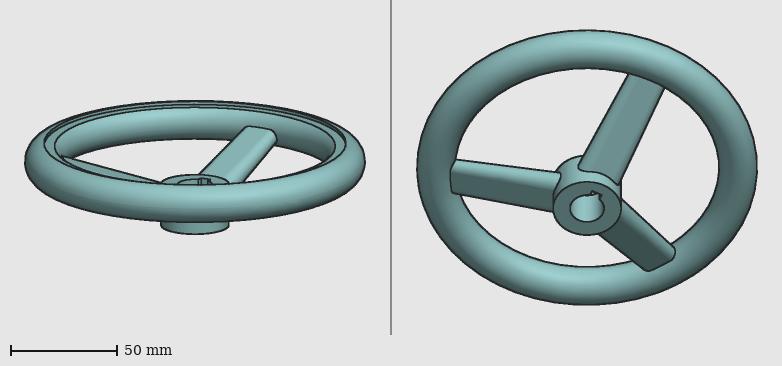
import cadquery as cq
import math

rim_outer_radius = 80.0
rim_section_radius = 9.0
rim_center_radius = rim_outer_radius - rim_section_radius
rim_step_depth = 1.5

hub_radius = 16.0
hub_height = 20.0
bore_radius = 8.0

keyway_width = 5.0
keyway_reach = 10.3

overall_height = 40.0
rim_center_height = overall_height - rim_section_radius

spoke_count = 3
spoke_flat_width = 11.0
spoke_start_height = 8.5
spoke_start_radius = 5.7
spoke_end_radius = 3.5
first_spoke_angle = 90.0


def rim_section_point(angle):
    """Point (radius, height) on the rim's section circle, angle in degrees from outward."""
    radius = rim_center_radius + rim_section_radius * math.cos(math.radians(angle))
    height = rim_center_height + rim_section_radius * math.sin(math.radians(angle))
    return radius, height


def make_rim():
    """Round section, stepped at its upper inner side, revolved about the hub axis."""
    step_floor = rim_section_radius - rim_step_depth
    crown_angle = 90.0
    outward_angle = 0.0
    step_edge_angle = -180.0 - math.degrees(math.asin(step_floor / rim_section_radius))
    upper_middle_angle = (crown_angle + outward_angle) / 2
    lower_middle_angle = (outward_angle + step_edge_angle) / 2

    crown = rim_section_point(crown_angle)
    outermost = rim_section_point(outward_angle)
    step_edge = rim_section_point(step_edge_angle)
    return (
        cq.Workplane("XZ")
        .moveTo(*crown)
        .threePointArc(rim_section_point(upper_middle_angle), outermost)
        .threePointArc(rim_section_point(lower_middle_angle), step_edge)
        .lineTo(rim_center_radius, rim_center_height + step_floor)
        .close()
        .revolve(360, (0, 0, 0), (0, 1, 0))
    )


def make_hub():
    """Plain cylinder, bored later once the spokes are joined to it."""
    return cq.Workplane("XY").circle(hub_radius).extrude(hub_height)


def make_spoke():
    """One spoke along +X, rising from the hub axis to the middle of the rim section."""
    rise = rim_center_height - spoke_start_height
    length = math.hypot(rim_center_radius, rise)
    section_plane = cq.Plane(
        origin=(0, 0, spoke_start_height),
        xDir=(0, 1, 0),
        normal=(rim_center_radius, 0, rise),
    )
    return (
        cq.Workplane(section_plane)
        .slot2D(spoke_flat_width + 2 * spoke_start_radius, 2 * spoke_start_radius)
        .workplane(offset=length)
        .slot2D(spoke_flat_width + 2 * spoke_end_radius, 2 * spoke_end_radius)
        .loft(ruled=True)
    )


def make_bore():
    """Through bore with a keyway on the +Y side."""
    bore = cq.Workplane("XY").circle(bore_radius).extrude(hub_height)
    keyway = (
        cq.Workplane("XY")
        .center(0, keyway_reach / 2)
        .rect(keyway_width, keyway_reach)
        .extrude(hub_height)
    )
    return bore.union(keyway)


wheel = make_hub().union(make_rim())
spoke = make_spoke()
for index in range(spoke_count):
    spoke_angle = first_spoke_angle + index * 360.0 / spoke_count
    wheel = wheel.union(spoke.rotate((0, 0, 0), (0, 0, 1), spoke_angle))

result = wheel.cut(make_bore())